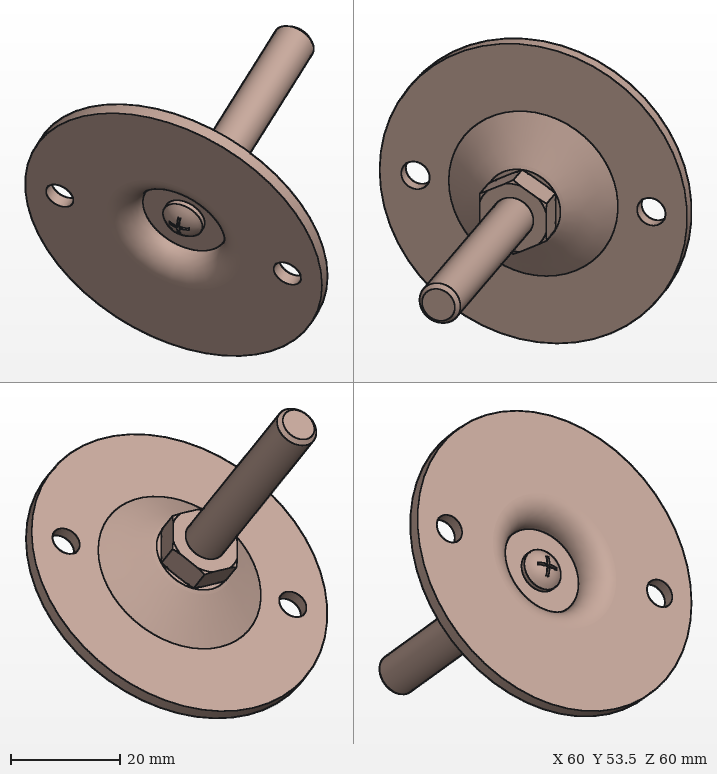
import cadquery as cq
import math


PLATE_DIAMETER = 60.0
PLATE_THICKNESS = 2.5
MOUNT_HOLE_DIAMETER = 5.5
MOUNT_HOLE_SPACING = 46.0

HUB_BASE_DIAMETER = 33.0
HUB_SHOULDER_DIAMETER = 16.2
HUB_TOP_DIAMETER = 14.8
HUB_HEIGHT = 8.3
HUB_SHOULDER_HEIGHT = 7.9

RECESS_FLOOR_DIAMETER = 17.0
RECESS_FLARE_RADIUS = 5.0
RECESS_DEPTH = RECESS_FLARE_RADIUS
RECESS_MOUTH_DIAMETER = RECESS_FLOOR_DIAMETER + 2 * RECESS_FLARE_RADIUS

NUT_ACROSS_FLATS = 13.0
NUT_SIDES = 6
NUT_HALF_SIDE_ANGLE = 180.0 / NUT_SIDES
NUT_ACROSS_CORNERS = NUT_ACROSS_FLATS / math.cos(math.radians(NUT_HALF_SIDE_ANGLE))
NUT_HEIGHT = 5.2
NUT_FACE_DIAMETER = 13.6
NUT_CHAMFER_ANGLE = 20.0
NUT_TOP = HUB_HEIGHT + NUT_HEIGHT

STUD_DIAMETER = 8.0
STUD_LENGTH = 40.0
STUD_CHAMFER = 0.8

HEAD_RIM_HEIGHT = 1.0
HEAD_DOME_HEIGHT = 2.0
CROSS_LENGTH = 4.0
CROSS_WIDTH = 0.5
CROSS_DEPTH = 1.0


def revolve_about_y(profile):
    """Turn a closed half profile, drawn as (radius, Y), about the Y axis."""
    return profile.close().revolve(360, (0, 0), (0, 1))


def make_base():
    """Plate and conical hub as one turned body."""
    profile = (
        cq.Workplane("XY")
        .lineTo(PLATE_DIAMETER / 2, 0)
        .lineTo(PLATE_DIAMETER / 2, PLATE_THICKNESS)
        .lineTo(HUB_BASE_DIAMETER / 2, PLATE_THICKNESS)
        .lineTo(HUB_SHOULDER_DIAMETER / 2, HUB_SHOULDER_HEIGHT)
        .lineTo(HUB_TOP_DIAMETER / 2, HUB_HEIGHT)
        .lineTo(0, HUB_HEIGHT)
    )
    return revolve_about_y(profile)


def make_recess():
    """Recess whose wall flares out tangent to the mounting face."""
    profile = (
        cq.Workplane("XY")
        .lineTo(RECESS_MOUTH_DIAMETER / 2, 0)
        .radiusArc((RECESS_FLOOR_DIAMETER / 2, RECESS_DEPTH), RECESS_FLARE_RADIUS)
        .lineTo(0, RECESS_DEPTH)
    )
    return revolve_about_y(profile)


def make_mount_holes():
    """Pair of through-hole cutters, one on each side along X."""
    return (
        cq.Workplane("XZ")
        .pushPoints([(side * MOUNT_HOLE_SPACING / 2, 0) for side in (-1, 1)])
        .circle(MOUNT_HOLE_DIAMETER / 2)
        .extrude(-PLATE_THICKNESS)
    )


def make_nut():
    """Hexagon with the corners of both ends trimmed by a cone."""
    hexagon = (
        cq.Workplane("XZ", origin=(0, HUB_HEIGHT, 0))
        .polygon(NUT_SIDES, NUT_ACROSS_CORNERS)
        .extrude(-NUT_HEIGHT)
        .rotate((0, 0, 0), (0, 1, 0), NUT_HALF_SIDE_ANGLE)
    )
    corner_radius = NUT_ACROSS_CORNERS / 2
    face_radius = NUT_FACE_DIAMETER / 2
    chamfer_height = (corner_radius - face_radius) * math.tan(math.radians(NUT_CHAMFER_ANGLE))
    envelope_profile = (
        cq.Workplane("XY")
        .moveTo(0, HUB_HEIGHT)
        .lineTo(face_radius, HUB_HEIGHT)
        .lineTo(corner_radius, HUB_HEIGHT + chamfer_height)
        .lineTo(corner_radius, NUT_TOP - chamfer_height)
        .lineTo(face_radius, NUT_TOP)
        .lineTo(0, NUT_TOP)
    )
    return hexagon.intersect(revolve_about_y(envelope_profile))


def make_stud():
    """Plain stud rising from the nut, chamfered at its free end."""
    nut_face = cq.Workplane("XZ", origin=(0, NUT_TOP, 0))
    stud = nut_face.circle(STUD_DIAMETER / 2).extrude(-STUD_LENGTH)
    return stud.faces(">Y").chamfer(STUD_CHAMFER)


def make_head():
    """Domed head standing on the recess floor, with the cross slot cut in its crown."""
    head_radius = STUD_DIAMETER / 2
    dome_base = RECESS_DEPTH - HEAD_RIM_HEIGHT
    crown = dome_base - HEAD_DOME_HEIGHT
    dome_radius = (head_radius**2 + HEAD_DOME_HEIGHT**2) / (2 * HEAD_DOME_HEIGHT)
    profile = (
        cq.Workplane("XY")
        .moveTo(0, RECESS_DEPTH)
        .lineTo(head_radius, RECESS_DEPTH)
        .lineTo(head_radius, dome_base)
        .radiusArc((0, crown), dome_radius)
    )
    head = revolve_about_y(profile)
    for width, height in ((CROSS_LENGTH, CROSS_WIDTH), (CROSS_WIDTH, CROSS_LENGTH)):
        slot = cq.Workplane("XZ", origin=(0, crown, 0)).rect(width, height).extrude(-CROSS_DEPTH)
        head = head.cut(slot)
    return head


base = make_base().cut(make_recess()).cut(make_mount_holes())
result = base.union(make_nut()).union(make_stud()).union(make_head())